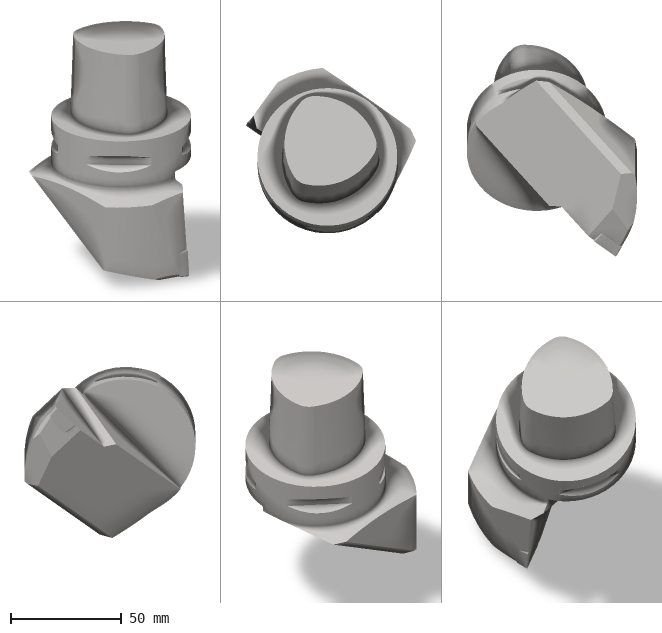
import cadquery as cq
import math


flange_radius = 31.5
flange_back_depth = 19.2
flange_front_depth = 22.0

shank_height = 38.0
shank_tip_reach = 23.5
shank_side_reach = 20.5
shank_corner_radius = 9.2
shank_inset = 1.2

slot_count = 4
slot_floor_distance = 27.9
slot_middle_depth = 11.0
slot_floor_width = 3.6
slot_mouth_width = 8.0

head_back = 4.2
head_front = -35.9
head_inner_fillet = 0.5
left_edge = (-flange_radius, -21.5)
heel = (29.1, -62.7)
toe = (44.5, -64.3)
side_relief = 5.4
head_left_chamfer = 3.0
nose_radius = 47.5
nose_center_x = -2.8
underside_front_depth = 57.4
underside_slope = 16.7
corner_facet_start = 41.0
corner_facet_slope = 48
corner_facet_reach = 10.3

shoulder_slope = 15
shoulder_root_radius = 32.7
shoulder_root_depth = 23.2
shoulder_outer_radius = 61.8
head_depth_limit = 82.4

pocket_wall_distance = 42.6
pocket_reach = 61.8

insert_tip = (45.1, -65.1)
insert_edge = 12.9
insert_edge_lean = 5
insert_corner_radius = 0.8
insert_thickness = 5.0
insert_clearance = 7


def polar(radius, degrees):
    angle = math.radians(degrees)
    return radius * math.cos(angle), radius * math.sin(angle)


def shank_outline(z, inset):
    """Wire of the rounded triangle, moved inward by the inset, at height z."""
    corner_radius = shank_corner_radius - inset
    corner_distance = shank_tip_reach - shank_corner_radius
    flank_gap = shank_side_reach - shank_corner_radius
    flank_offset = (flank_gap**2 - corner_distance**2) / (corner_distance - 2 * flank_gap)
    flank_radius = flank_offset + shank_side_reach - inset

    def tangent_point(corner_angle, flank_angle):
        corner_x, corner_y = polar(corner_distance, corner_angle)
        flank_x, flank_y = polar(flank_offset, flank_angle + 180)
        dx = corner_x - flank_x
        dy = corner_y - flank_y
        reach = corner_radius / math.hypot(dx, dy)
        return corner_x + dx * reach, corner_y + dy * reach

    outline = cq.Workplane("XY").workplane(offset=z).moveTo(*tangent_point(90, 30))
    for corner_angle in (90, 210, 330):
        outline = outline.threePointArc(
            polar(corner_distance + corner_radius, corner_angle),
            tangent_point(corner_angle, corner_angle + 60),
        )
        outline = outline.threePointArc(
            polar(flank_radius - flank_offset, corner_angle + 60),
            tangent_point(corner_angle + 120, corner_angle + 60),
        )
    return outline.close().wire().val()


def make_shank():
    base = shank_outline(0, 0)
    top = shank_outline(shank_height, shank_inset)
    return cq.Workplane(cq.Solid.makeLoft([base, top], True))


def make_slot(angle):
    """Cutter for one slot: flat floor, walls flaring outward."""
    outer = flange_radius + 1
    flare = (slot_mouth_width - slot_floor_width) / 2 / (flange_radius - slot_floor_distance)
    outer_half = slot_floor_width / 2 + flare * (outer - slot_floor_distance)
    floor_half = slot_floor_width / 2
    return (
        cq.Workplane("XZ")
        .polyline([
            (slot_floor_distance, -slot_middle_depth - floor_half),
            (outer, -slot_middle_depth - outer_half),
            (outer, -slot_middle_depth + outer_half),
            (slot_floor_distance, -slot_middle_depth + floor_half),
        ])
        .close()
        .extrude(flange_radius, both=True)
        .rotate((0, 0, 0), (0, 0, 1), angle)
    )


def make_shoulder_envelope():
    """Turned shape holding the deeper front of the flange and everything below the shoulder cone."""
    slope = math.tan(math.radians(shoulder_slope))
    drop = (shoulder_outer_radius - shoulder_root_radius) * slope
    bulge = (shoulder_root_radius - flange_radius) * (1 - math.sqrt(0.5))
    root_middle = (
        flange_radius + bulge,
        -flange_front_depth - (shoulder_root_depth - flange_front_depth) * math.sqrt(0.5),
    )
    return (
        cq.Workplane("XZ")
        .moveTo(0, -flange_back_depth)
        .lineTo(flange_radius, -flange_back_depth)
        .lineTo(flange_radius, -flange_front_depth)
        .threePointArc(root_middle, (shoulder_root_radius, -shoulder_root_depth))
        .lineTo(shoulder_outer_radius, -shoulder_root_depth - drop)
        .lineTo(shoulder_outer_radius, -head_depth_limit)
        .lineTo(0, -head_depth_limit)
        .close()
        .revolve(360, (0, 0), (0, 1))
    )


def make_head():
    """Cutting head together with the deeper front part of the flange."""
    top_right_x = toe[0] + toe[1] * math.tan(math.radians(side_relief))
    blank = (
        cq.Workplane("XZ", origin=(0, head_back, 0))
        .polyline([(left_edge[0], 0), left_edge, heel, toe, (top_right_x, 0)])
        .close()
        .extrude(head_back - head_front)
    )
    left_face_middle = (
        (left_edge[0] + heel[0]) / 2,
        head_front,
        (left_edge[1] + heel[1]) / 2,
    )
    blank = blank.edges(cq.selectors.NearestToPointSelector(left_face_middle)).chamfer(head_left_chamfer)

    nose = (
        cq.Workplane("XY")
        .center(nose_center_x, 0)
        .circle(nose_radius)
        .extrude(-head_depth_limit)
    )
    rise = math.tan(math.radians(underside_slope))
    underside_back_depth = underside_front_depth - head_front * rise
    underside = (
        cq.Workplane("YZ")
        .polyline([
            (head_front, -underside_front_depth),
            (0, -underside_back_depth),
            (0, -head_depth_limit),
            (head_front, -head_depth_limit),
        ])
        .close()
        .extrude(shoulder_outer_radius, both=True)
    )
    return blank.intersect(nose).intersect(make_shoulder_envelope()).cut(underside).cut(make_corner_facet())


def make_corner_facet():
    """Cutter for the facet beside the toe, running parallel to the sloped underside."""
    fall = -math.tan(math.radians(underside_slope))
    rise = corner_facet_reach * math.tan(math.radians(corner_facet_slope))
    facet_plane = cq.Plane(
        origin=(corner_facet_start, head_front, -underside_front_depth),
        xDir=(1, 0, 0),
        normal=(0, 1, fall),
    )
    return (
        cq.Workplane(facet_plane)
        .lineTo(corner_facet_reach, -rise)
        .lineTo(corner_facet_reach, corner_facet_reach)
        .lineTo(0, corner_facet_reach)
        .close()
        .extrude(head_back - head_front)
    )


def make_step_fillet():
    """Rounding along the inner corner between the flange's underside and the head's back face."""
    radius = head_inner_fillet
    arc_inset = radius * (1 - math.sqrt(0.5))
    bar = (
        cq.Workplane("YZ", origin=(0, head_back, -flange_back_depth))
        .lineTo(radius, 0)
        .threePointArc((arc_inset, -arc_inset), (0, -radius))
        .close()
        .extrude(flange_radius, both=True)
    )
    flange_column = cq.Workplane("XY").circle(flange_radius).extrude(-flange_front_depth)
    return bar.intersect(flange_column)


def make_chip_pocket():
    """Cutter behind the cutting edge, above the plane y = 0."""
    pocket_plane = cq.Plane(origin=(0, 0, 0), xDir=(1, 0, -1), normal=(1, 0, 1))
    return (
        cq.Workplane(pocket_plane)
        .polyline([
            (pocket_wall_distance, head_back),
            (pocket_wall_distance + head_back, 0),
            (pocket_wall_distance + pocket_reach, 0),
            (pocket_wall_distance + pocket_reach, head_back),
        ])
        .close()
        .extrude(pocket_reach, both=True)
    )


def make_insert():
    along = insert_edge * math.cos(math.radians(insert_edge_lean))
    across = insert_edge * math.sin(math.radians(insert_edge_lean))
    x, z = insert_tip
    return (
        cq.Workplane("XZ")
        .polyline([
            (x, z),
            (x - across, z + along),
            (x - across - along, z + along + across),
            (x - along, z + across),
        ])
        .close()
        .extrude(insert_thickness, taper=insert_clearance)
        .edges("not(#Y)")
        .fillet(insert_corner_radius)
    )


def make_holder(insert):
    flange = cq.Workplane("XY").circle(flange_radius).extrude(-flange_back_depth)
    holder = flange.union(make_head()).union(make_step_fillet())
    holder = holder.union(make_shank())
    for index in range(slot_count):
        holder = holder.cut(make_slot(45 + index * 360 / slot_count))
    return holder.cut(make_chip_pocket()).cut(insert)


insert = make_insert()
holder = make_holder(insert)
result = cq.Compound.makeCompound([*holder.solids().vals(), *insert.solids().vals()])